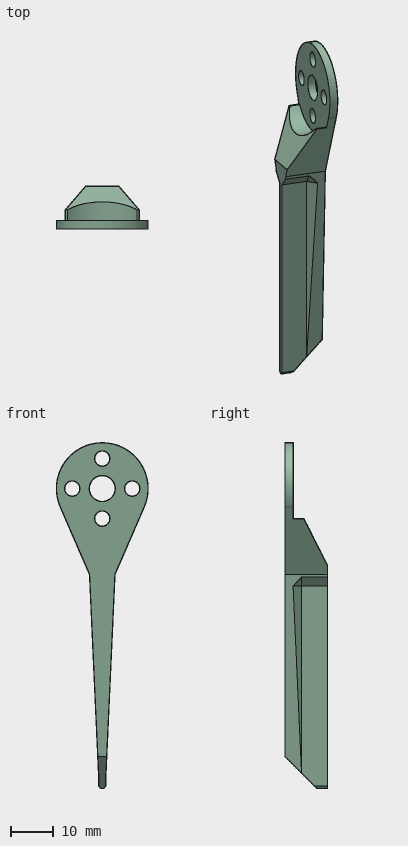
import cadquery as cq
import math

depth = 10.0
tip_z = -69.985

head_radius = 10.725
plate_thickness = 2.0
hub_hole_diameter = 6.0
bolt_hole_diameter = 3.5
bolt_circle_radius = 7.0
bolt_count = 4

shoulder_z = -20.0
shoulder_half_width = 3.0
taper_end_z = -67.5
blade_half_width = 0.85

block_top_z = -7.0
block_top_y = 4.45
slope_end_z = -18.0

floor_top_z = -22.75
floor_front_y = 3.95

front_cut_drop = 7.5
tip_chamfer = 0.55

cut_margin = 5.0


def arm_outline():
    """Front outline below the head; the flared sides are tangent to the head circle."""
    shoulder_distance = math.hypot(shoulder_half_width, shoulder_z)
    shoulder_angle = math.atan2(shoulder_z, shoulder_half_width)
    tangent_angle = shoulder_angle + math.acos(head_radius / shoulder_distance)
    tangent_x = head_radius * math.cos(tangent_angle)
    tangent_z = head_radius * math.sin(tangent_angle)
    right_side = [
        (tangent_x, tangent_z),
        (shoulder_half_width, shoulder_z),
        (blade_half_width, taper_end_z),
        (blade_half_width, tip_z + tip_chamfer),
        (blade_half_width - tip_chamfer, tip_z),
    ]
    left_side = [(-x, z) for x, z in reversed(right_side)]
    return right_side + left_side


def extrude_back(sketch, length):
    """Extrude an XZ sketch from Y = 0 towards +Y."""
    return sketch.extrude(-length)


def make_head():
    return extrude_back(cq.Workplane("XZ").circle(head_radius), plate_thickness)


def make_arm():
    """Arm outline at full depth, trimmed to its side profile and cleared around the head."""
    arm = extrude_back(cq.Workplane("XZ").polyline(arm_outline()).close(), depth)
    side_profile = [
        (0, 0),
        (plate_thickness, 0),
        (plate_thickness, block_top_z),
        (block_top_y, block_top_z),
        (depth, slope_end_z),
        (depth, tip_z),
        (front_cut_drop, tip_z),
        (0, tip_z + front_cut_drop),
    ]
    side_prism = (
        cq.Workplane("YZ").polyline(side_profile).close().extrude(head_radius, both=True)
    )
    clearance = extrude_back(
        cq.Workplane("XZ", origin=(0, plate_thickness, 0)).circle(head_radius), depth
    )
    return arm.intersect(side_prism).cut(clearance)


def make_side_recess():
    """Recess on the +X side: a flat floor with 45 degree top and front walls.

    A sloping facet rises from the floor corner and bevels the corner between the walls.
    """
    reach = shoulder_half_width
    floor_x = blade_half_width
    outer_x = floor_x + reach
    bottom_z = tip_z - cut_margin
    back_y = depth + cut_margin
    below_top_wall = (
        cq.Workplane("XZ")
        .polyline([
            (floor_x, bottom_z),
            (floor_x, floor_top_z),
            (outer_x, floor_top_z + reach),
            (outer_x, bottom_z),
        ])
        .close()
    )
    behind_front_wall = (
        cq.Workplane("XY", origin=(0, 0, bottom_z))
        .polyline([
            (floor_x, back_y),
            (floor_x, floor_front_y),
            (outer_x, floor_front_y - reach),
            (outer_x, back_y),
        ])
        .close()
        .extrude(-bottom_z)
    )
    corner_facet = cq.Plane(
        origin=(floor_x, floor_front_y, floor_top_z), xDir=(0, 1, 1), normal=(-1, -1, 1)
    )
    facet_size = -2 * tip_z
    beyond_facet = cq.Workplane(corner_facet).rect(facet_size, facet_size).extrude(facet_size)
    return extrude_back(below_top_wall, back_y).intersect(behind_front_wall).cut(beyond_facet)


def make_holes():
    """Hub hole and the ring of bolt holes through the head plate."""
    hub = cq.Workplane("XZ").circle(hub_hole_diameter / 2)
    bolts = (
        cq.Workplane("XZ")
        .polarArray(bolt_circle_radius, 0, 360, bolt_count)
        .circle(bolt_hole_diameter / 2)
    )
    return extrude_back(hub, plate_thickness).union(extrude_back(bolts, plate_thickness))


recess = make_side_recess()
result = (
    make_head()
    .union(make_arm())
    .cut(recess)
    .cut(recess.mirror("YZ"))
    .cut(make_holes())
)